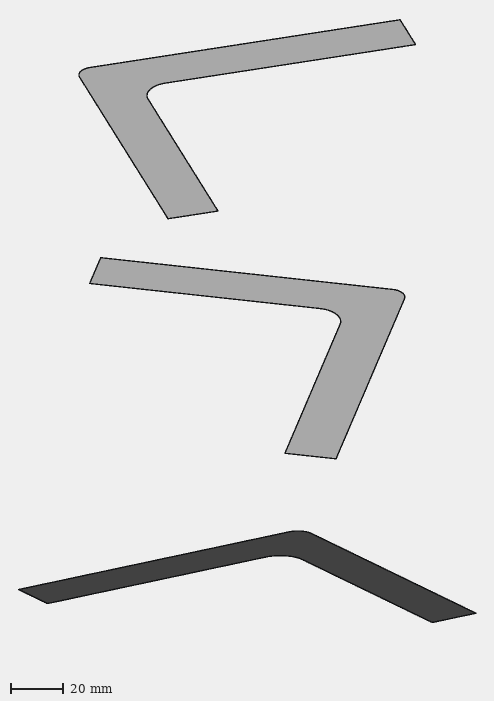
import cadquery as cq

length_x = 120.0
length_y = 130.0
thickness = 0.1
leg_width = 20.0
outer_radius = 6.0
inner_radius = 10.0

outline = [
    (0, 0),
    (length_x, 0),
    (length_x, leg_width),
    (leg_width, leg_width),
    (leg_width, length_y),
    (0, length_y),
]
plate = cq.Workplane("XY").polyline(outline).close().extrude(thickness)


def round_corner(body, position, radius):
    """Fillet the upright edge standing at (position, position)."""
    middle = (position, position, thickness / 2)
    return body.edges(cq.selectors.NearestToPointSelector(middle)).fillet(radius)


plate = round_corner(plate, 0, outer_radius)
result = round_corner(plate, leg_width, inner_radius)